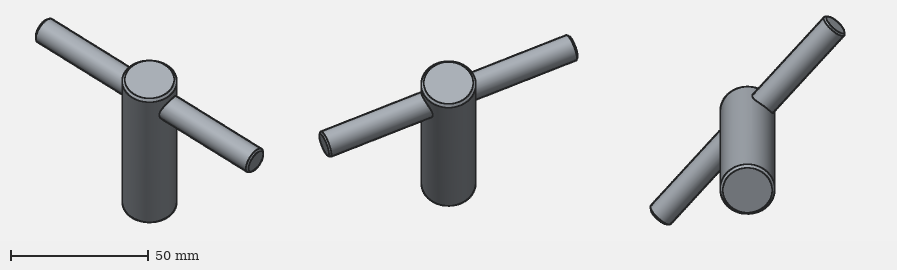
import cadquery as cq

post_diameter = 20.0
post_height = 70.0
post_chamfer = 1.0

bar_length = 100.0
bar_diameter = 10.0
bar_chamfer = 0.7
bar_drop = 9.0
bar_axis_height = post_height - bar_drop

post = (
    cq.Workplane("XY")
    .circle(post_diameter / 2)
    .extrude(post_height)
    .faces("<Z or >Z")
    .chamfer(post_chamfer)
)

bar = (
    cq.Workplane("YZ", origin=(-bar_length / 2, 0, bar_axis_height))
    .circle(bar_diameter / 2)
    .extrude(bar_length)
    .faces("<X or >X")
    .chamfer(bar_chamfer)
)

result = post.union(bar)